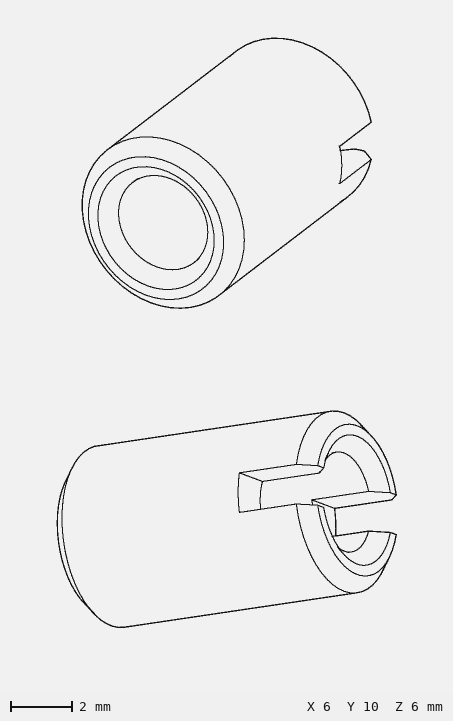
import cadquery as cq

length = 10.0
outer_diameter = 6.0
edge_chamfer = 0.5

bore_diameter = 3.3
countersink_diameter = 4.3

slot_width = 1.33
slot_depth = 2.7

front_y = -length / 2
rear_y = length / 2


def sleeve_body():
    """Solid of revolution about Y: chamfered outside, countersunk bore inside."""
    outer_radius = outer_diameter / 2
    end_face_radius = outer_radius - edge_chamfer
    bore_radius = bore_diameter / 2
    countersink_radius = countersink_diameter / 2
    countersink_depth = countersink_radius - bore_radius

    half_section = (
        cq.Workplane("XY")
        .moveTo(countersink_radius, front_y)
        .lineTo(end_face_radius, front_y)
        .lineTo(outer_radius, front_y + edge_chamfer)
        .lineTo(outer_radius, rear_y - edge_chamfer)
        .lineTo(end_face_radius, rear_y)
        .lineTo(countersink_radius, rear_y)
        .lineTo(bore_radius, rear_y - countersink_depth)
        .lineTo(bore_radius, front_y + countersink_depth)
        .close()
    )
    return half_section.revolve(360, (0, 0, 0), (0, 1, 0))


def screwdriver_slot():
    """Block spanning the full diameter in X, open at the rear end face."""
    return (
        cq.Workplane("XY")
        .box(outer_diameter, slot_depth, slot_width)
        .translate((0, rear_y - slot_depth / 2, 0))
    )


result = sleeve_body().cut(screwdriver_slot())